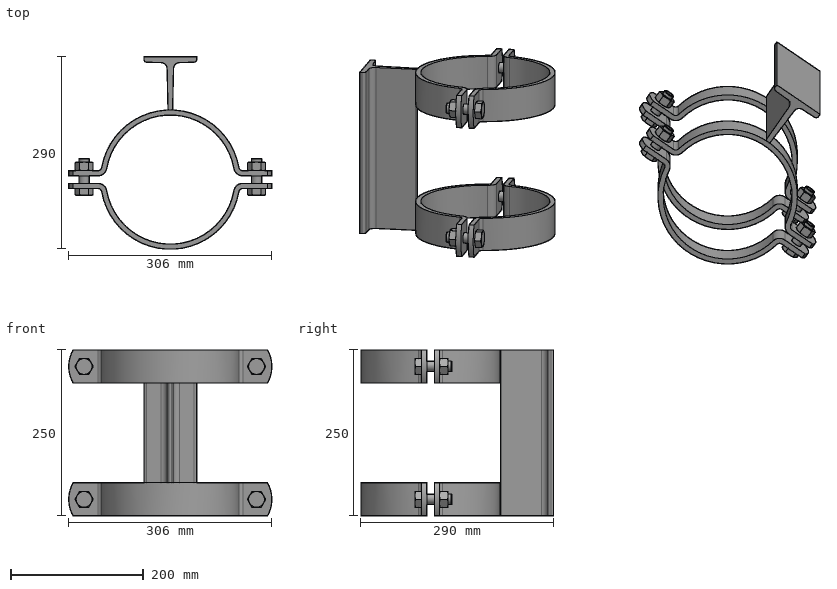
import cadquery as cq
import math

total_length = 306.0
total_depth = 290.0
total_height = 250.0

ring_outer_radius = 105.0
strap_thickness = 8.0
clamp_spacing = 150.0
strap_width = (total_height - clamp_spacing) / 2
lug_gap = 11.0
lug_end_radius = strap_width
inside_bend_radius = 5.8
outside_bend_radius = inside_bend_radius + strap_thickness
ring_inner_radius = ring_outer_radius - strap_thickness
lug_outer_face = lug_gap / 2 + strap_thickness
clamp_levels = (strap_width / 2, total_height - strap_width / 2)

bolt_offset = 129.7
bolt_diameter = 16.0
bolt_tip_diameter = 15.0
bolt_tip_chamfer_length = 1.0
bolt_protrusion = 5.5
hex_across_flats = 24.0
hex_corner_radius = hex_across_flats / math.sqrt(3)
hex_chamfer_angle = math.radians(30)
head_height = 10.0
nut_height = 13.0

flange_width = 80.0
flange_tip_thickness = 8.5
flange_root_thickness = 9.5
web_root_thickness = 10.5
web_tip_thickness = 7.3
root_fillet = 9.0
flange_tip_fillet = 4.5
web_tip_fillet = 1.8
web_tip_y = ring_outer_radius
flange_back_y = total_depth - ring_outer_radius


def fillet_upright_edges(body, radius, points):
    """Round the vertical edges that pass through the given XY points."""
    middle = body.val().Center().z
    for x, y in points:
        edge = cq.selectors.NearestToPointSelector((x, y, middle))
        body = body.edges("|Z").edges(edge).fillet(radius)
    return body


def mirrored(x, y):
    """The given point and its mirror image across the YZ plane."""
    return [(-x, y), (x, y)]


def make_tee():
    """Tee bar with tapered flange and web; its web tip rests on the clamps."""
    half_flange = flange_width / 2
    flange_tip_y = flange_back_y - flange_tip_thickness
    root_y = flange_back_y - flange_root_thickness
    half_root = web_root_thickness / 2
    half_tip = web_tip_thickness / 2
    tee = (
        cq.Workplane("XY")
        .polyline([
            (-half_flange, flange_back_y),
            (-half_flange, flange_tip_y),
            (-half_root, root_y),
            (-half_tip, web_tip_y),
            (half_tip, web_tip_y),
            (half_root, root_y),
            (half_flange, flange_tip_y),
            (half_flange, flange_back_y),
        ])
        .close()
        .extrude(total_height)
    )
    tee = fillet_upright_edges(tee, root_fillet, mirrored(half_root, root_y))
    tee = fillet_upright_edges(tee, flange_tip_fillet, mirrored(half_flange, flange_tip_y))
    return fillet_upright_edges(tee, web_tip_fillet, mirrored(half_tip, web_tip_y))


def make_lug_blank():
    """Bar with arched ends, as thick as both lugs and the gap between them."""
    half_length = total_length / 2
    half_width = strap_width / 2
    end_rise = lug_end_radius - math.sqrt(lug_end_radius**2 - half_width**2)
    corner_x = half_length - end_rise
    return (
        cq.Workplane("XZ")
        .moveTo(-corner_x, -half_width)
        .lineTo(corner_x, -half_width)
        .threePointArc((half_length, 0), (corner_x, half_width))
        .lineTo(-corner_x, half_width)
        .threePointArc((-half_length, 0), (-corner_x, -half_width))
        .close()
        .extrude(lug_outer_face, both=True)
    )


def make_half_strap():
    """Rear half of a clamp strap: half ring, two lugs and the bends between them."""
    disc = cq.Workplane("XY").circle(ring_outer_radius).extrude(strap_width / 2, both=True)
    bore = cq.Workplane("XY").circle(ring_inner_radius).extrude(strap_width / 2, both=True)
    rear_space = cq.Workplane("XY").box(
        total_length, total_length, strap_width, centered=(True, False, True)
    ).translate((0, lug_gap / 2, 0))
    strap = disc.union(make_lug_blank()).cut(bore).intersect(rear_space)
    outer_corner_x = math.sqrt(ring_outer_radius**2 - lug_outer_face**2)
    inner_corner_x = math.sqrt(ring_inner_radius**2 - (lug_gap / 2)**2)
    strap = fillet_upright_edges(
        strap, inside_bend_radius, mirrored(outer_corner_x, lug_outer_face)
    )
    return fillet_upright_edges(
        strap, outside_bend_radius, mirrored(inner_corner_x, lug_gap / 2)
    )


def make_hexagon(height, chamfer_both_ends):
    """Hexagon along +Y from the XZ plane, corners chamfered by a cone at the far end or both."""
    hexagon = cq.Workplane("XZ").polygon(6, 2 * hex_corner_radius).extrude(-height)
    face_radius = hex_across_flats / 2
    chamfer_depth = (hex_corner_radius - face_radius) * math.tan(hex_chamfer_angle)
    if chamfer_both_ends:
        near_end = [(face_radius, 0), (hex_corner_radius, chamfer_depth)]
    else:
        near_end = [(hex_corner_radius, 0)]
    far_end = [(hex_corner_radius, height - chamfer_depth), (face_radius, height)]
    envelope = (
        cq.Workplane("XY")
        .polyline([(0, 0), *near_end, *far_end, (0, height)])
        .close()
        .revolve(360, (0, 0), (0, 1))
    )
    return hexagon.intersect(envelope)


def make_bolt():
    """Bolt along Y with its head in front and its nut behind the lugs."""
    tip_y = lug_outer_face + nut_height + bolt_protrusion
    bolt_radius = bolt_diameter / 2
    shank = (
        cq.Workplane("XY")
        .polyline([
            (0, -lug_outer_face),
            (bolt_radius, -lug_outer_face),
            (bolt_radius, tip_y - bolt_tip_chamfer_length),
            (bolt_tip_diameter / 2, tip_y),
            (0, tip_y),
        ])
        .close()
        .revolve(360, (0, 0), (0, 1))
    )
    head = make_hexagon(head_height, chamfer_both_ends=False).mirror("XZ")
    head = head.translate((0, -lug_outer_face, 0))
    nut = make_hexagon(nut_height, chamfer_both_ends=True)
    nut = nut.translate((0, lug_outer_face, 0))
    return shank.union(head).union(nut)


def make_clamp():
    """Two strap halves held together by a bolt at each side, as one solid."""
    rear_half = make_half_strap()
    clamp = rear_half.union(rear_half.mirror("XZ"))
    bolt = make_bolt()
    for x in (-bolt_offset, bolt_offset):
        clamp = clamp.union(bolt.translate((x, 0, 0)))
    return clamp


tee = make_tee()
clamp = make_clamp()
clamps = [clamp.translate((0, 0, level)) for level in clamp_levels]

result = cq.Compound.makeCompound([tee.val(), *[body.val() for body in clamps]])